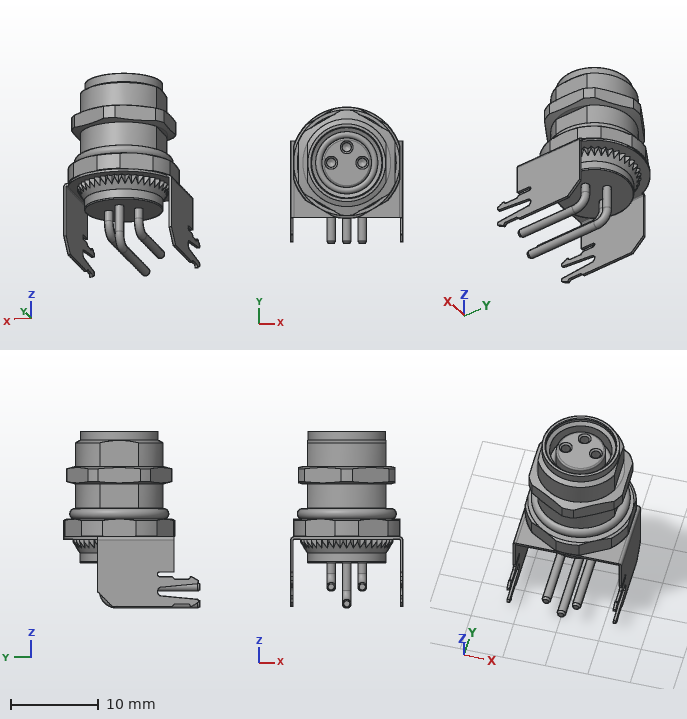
import cadquery as cq
import math


shell_top = 12.0
collar_base = 11.0
collar_radius = 4.43
thread_base = 3.25
thread_radius = 5.0
thread_bevel_height = 0.3
flat_offset = 4.5
groove_radius = 4.47

mouth_radius = 4.0
mouth_chamfer = 0.1
mouth_wall_base = 11.55
funnel_base = 11.25
well_radius = 3.55
well_floor = 9.15
insert_radius = 2.82
insert_top = 11.2
insert_fillet = 0.2
seal_height = (well_radius - insert_radius) / 2

contact_offset = 1.77
socket_radius = 0.52
socket_mouth_radius = 0.73
socket_depth = 4.0
socket_tip_depth = 0.3

nut_flats = 11.0
nut_corner_radius = 6.0
nut_base = 6.0
nut_top = 8.0
nut_face_radius = 5.0
nut_bevel = 0.27
flange_flats = 12.1
flange_radius = 6.35
flange_top = 2.0
flange_bevel_width = 0.3
flange_bevel_height = 0.17
flange_base_chamfer = 0.07

ring_section_radius = 0.6
ring_centre_radius = 5.05

knurl_count = 40
knurl_peak_radius = 5.3
knurl_valley_radius = 4.85
knurl_cone_top = -0.55
foot_radius = 4.5
knurl_cone_base = -1.85
foot_base = -3.0
foot_bevel_height = 0.15
foot_bevel_width = 0.08

sheet = 0.3
bracket_half_width = 6.4
bend_radius = 0.4
bracket_front = -6.25
bracket_back = 2.5
leg_base = -7.95
leg_corner = 1.7

prong_half_height = 1.7
fork_centre = leg_base + prong_half_height
prong_top = fork_centre + prong_half_height
notch_half_height = 1.4
notch_depth = prong_half_height - notch_half_height
notch_start = -6.02
notch_end = -7.8
hook_peak = -8.24
tip_outer = -8.98
tip_outer_half = 1.28
tip_middle = -9.03
tip_middle_half = 1.07
tip_inner = -8.9
tip_inner_half = 0.88
fork_root = -4.37
fork_mouth = -4.65
fork_mouth_half = 0.48
relief_radius = 0.26
relief_top = prong_top + 2 * relief_radius

pin_radius = 0.5
pin_end = -9.2
pin_bend_radius = 1.5
pin_tip_length = 0.28
pin_tip_radius = 0.35
upper_pin_height = -5.72
lower_pin_height = -7.65
pin_start = foot_base + 0.5
contacts = [
    (-contact_offset, 0, upper_pin_height),
    (contact_offset, 0, upper_pin_height),
    (0, contact_offset, lower_pin_height),
]


def revolved(profile):
    """Revolve a closed (radius, height) outline about the Z axis."""
    return cq.Workplane("XZ").polyline(profile).close().revolve(360, (0, 0), (0, 1))


def disc(radius, base, top):
    """Plain round disc centred on the Z axis."""
    return cq.Workplane("XY").workplane(offset=base).circle(radius).extrude(top - base)


def hexagon(flats, base, top):
    """Six-sided prism with one pair of flats facing +X and -X."""
    sides = 6
    half_side_angle = 180 / sides
    corner_diameter = flats / math.cos(math.radians(half_side_angle))
    prism = cq.Workplane("XY").polygon(sides, corner_diameter).extrude(top - base)
    return prism.rotate((0, 0, 0), (0, 0, 1), half_side_angle).translate((0, 0, base))


def make_shell():
    """Flatted thread with a bevelled end, between the ring groove and the collar."""
    bevel_base = collar_base - thread_bevel_height
    thread = revolved([
        (0, thread_base),
        (thread_radius, thread_base),
        (thread_radius, bevel_base),
        (collar_radius, collar_base),
        (0, collar_base),
    ])
    flats = cq.Workplane("XY").workplane(offset=thread_base).rect(2 * flat_offset, 4 * thread_radius)
    thread = thread.intersect(flats.extrude(collar_base - thread_base))
    core = disc(groove_radius, 0, thread_base)
    collar = disc(collar_radius, bevel_base, shell_top)
    return core.union(thread).union(collar)


def make_mouth():
    """Hollow around and above the insert, with a domed seal as the well floor."""
    fillet_share = insert_fillet * math.sqrt(0.5)
    fillet_centre_radius = insert_radius - insert_fillet
    fillet_centre_height = insert_top - insert_fillet
    outline = (
        cq.Workplane("XZ")
        .moveTo(0, shell_top)
        .lineTo(0, insert_top)
        .lineTo(fillet_centre_radius, insert_top)
        .threePointArc(
            (fillet_centre_radius + fillet_share, fillet_centre_height + fillet_share),
            (insert_radius, fillet_centre_height),
        )
        .lineTo(insert_radius, well_floor)
        .threePointArc((insert_radius + seal_height, well_floor + seal_height), (well_radius, well_floor))
        .lineTo(well_radius, funnel_base)
        .lineTo(mouth_radius, mouth_wall_base)
        .lineTo(mouth_radius, shell_top - mouth_chamfer)
        .lineTo(mouth_radius + mouth_chamfer, shell_top)
        .close()
    )
    return outline.revolve(360, (0, 0), (0, 1))


def make_socket():
    """Countersunk contact hole with a conical bottom."""
    bottom = insert_top - socket_depth
    countersink = socket_mouth_radius - socket_radius
    return revolved([
        (0, bottom - socket_tip_depth),
        (socket_radius, bottom),
        (socket_radius, insert_top - countersink),
        (socket_mouth_radius, insert_top),
        (0, insert_top),
    ])


def make_nut():
    envelope = revolved([
        (0, nut_base),
        (nut_face_radius, nut_base),
        (nut_corner_radius, nut_base + nut_bevel),
        (nut_corner_radius, nut_top - nut_bevel),
        (nut_face_radius, nut_top),
        (0, nut_top),
    ])
    return hexagon(nut_flats, nut_base, nut_top).intersect(envelope)


def make_flange():
    envelope = revolved([
        (0, 0),
        (flange_radius - flange_base_chamfer, 0),
        (flange_radius, flange_base_chamfer),
        (flange_radius, flange_top - flange_bevel_height),
        (flange_radius - flange_bevel_width, flange_top),
        (0, flange_top),
    ])
    return hexagon(flange_flats, 0, flange_top).intersect(envelope)


def make_sealing_ring():
    centre_height = flange_top + ring_section_radius
    plane = cq.Plane(origin=(ring_centre_radius, 0, centre_height), xDir=(-1, 0, 0), normal=(0, 1, 0))
    section = cq.Workplane(plane).circle(ring_section_radius)
    return section.revolve(360, (ring_centre_radius, 0), (ring_centre_radius, 1))


def make_foot():
    """Tapered foot with vertical V grooves above a plain cylinder."""
    star = []
    half_pitch = math.pi / knurl_count
    for index in range(2 * knurl_count):
        radius = knurl_peak_radius if index % 2 else knurl_valley_radius
        angle = index * half_pitch
        star.append((radius * math.cos(angle), radius * math.sin(angle)))
    knurl = cq.Workplane("XY").polyline(star).close().extrude(knurl_cone_base)
    taper = revolved([
        (0, 0),
        (knurl_peak_radius, 0),
        (knurl_peak_radius, knurl_cone_top),
        (foot_radius, knurl_cone_base),
        (0, knurl_cone_base),
    ])
    cylinder = revolved([
        (0, knurl_cone_base),
        (foot_radius, knurl_cone_base),
        (foot_radius, foot_base + foot_bevel_height),
        (foot_radius - foot_bevel_width, foot_base),
        (0, foot_base),
    ])
    return knurl.intersect(taper).union(cylinder)


def prong_side(side):
    """Points along one prong, round its tip to the fork; side is +1 (upper) or -1 (lower)."""
    def at(y, half_height):
        return (y, fork_centre + side * half_height)

    hook_arc_share = notch_depth * math.sqrt(0.5)
    arc_middle_half = prong_half_height - hook_arc_share
    return [
        at(notch_start, prong_half_height),
        at(notch_start - notch_depth, notch_half_height),
        at(notch_end, notch_half_height),
        at(notch_end - hook_arc_share, arc_middle_half),
        at(notch_end - notch_depth, prong_half_height),
        at(hook_peak, prong_half_height),
        at(tip_outer, tip_outer_half),
        at(tip_middle, tip_middle_half),
        at(tip_inner, tip_inner_half),
        at(fork_mouth, fork_mouth_half),
    ]


def trace_prong(outline, points, arc_middles):
    """Extend an outline along a prong side, with an arc through each listed middle point."""
    for index, point in enumerate(points):
        if point in arc_middles:
            continue
        previous = points[index - 1]
        if previous in arc_middles:
            outline = outline.threePointArc(previous, point)
        else:
            outline = outline.lineTo(*point)
    return outline


def leg_outline():
    """Side profile of a bracket leg in the YZ plane."""
    upper = prong_side(1)
    lower = prong_side(-1)
    hook_index = 3
    tip_index = 7
    arc_middles = [side[index] for side in (upper, lower) for index in (hook_index, tip_index)]
    relief_centre = fork_root - relief_radius
    outline = cq.Workplane("YZ").moveTo(bracket_back, 0).lineTo(bracket_front, 0)
    outline = outline.lineTo(bracket_front, relief_top).lineTo(relief_centre, relief_top)
    outline = outline.threePointArc((fork_root, relief_top - relief_radius), (relief_centre, prong_top))
    outline = trace_prong(outline, upper, arc_middles)
    outline = outline.threePointArc((fork_root, fork_centre), lower[-1])
    outline = trace_prong(outline, lower[-2::-1], arc_middles)
    outline = outline.lineTo(bracket_back - leg_corner, leg_base)
    return outline.lineTo(bracket_back, leg_base + leg_corner).close()


def make_bracket():
    """Folded U-shaped sheet, its web rounded off behind to follow the flange."""
    height = -leg_base
    length = bracket_back - pin_end
    inner_half_width = bracket_half_width - sheet
    outer = cq.Workplane("XY").box(2 * bracket_half_width, length, height, centered=(True, False, False))
    outer = outer.translate((0, pin_end, leg_base))
    outer = outer.edges("|Y and >Z").fillet(bend_radius)
    inner = cq.Workplane("XY").box(2 * inner_half_width, length, height - sheet, centered=(True, False, False))
    inner = inner.translate((0, pin_end, leg_base))
    inner = inner.edges("|Y and >Z").fillet(bend_radius - sheet)
    side_shape = leg_outline().extrude(bracket_half_width, both=True)
    folded = outer.cut(inner).intersect(side_shape)
    rear_depth = flange_radius - bracket_back
    rear = cq.Workplane("XY").box(2 * flange_radius, rear_depth, sheet, centered=(True, False, False))
    rear = rear.translate((0, bracket_back, -sheet)).intersect(disc(flange_radius, -sheet, 0))
    return folded.union(rear)


def make_pin(x, y, height):
    """Pin leaving the foot downward and bending toward -Y."""
    bend_top = height + pin_bend_radius
    bend_end = y - pin_bend_radius
    arc_share = pin_bend_radius * math.sqrt(0.5)
    path = (
        cq.Workplane("YZ", origin=(x, 0, 0))
        .moveTo(y, pin_start)
        .lineTo(y, bend_top)
        .threePointArc((bend_end + arc_share, bend_top - arc_share), (bend_end, height))
        .lineTo(pin_end, height)
    )
    pin = cq.Workplane("XY", origin=(x, y, pin_start)).circle(pin_radius).sweep(path)
    return pin.faces("<Y").chamfer(pin_tip_length, pin_radius - pin_tip_radius)


def make_connector():
    body = make_shell()
    for piece in (make_nut(), make_flange(), make_sealing_ring(), make_foot(), make_bracket()):
        body = body.union(piece)
    body = body.cut(make_mouth())
    for x, y, _ in contacts:
        body = body.cut(make_socket().translate((x, y, 0)))
    for x, y, height in contacts:
        body = body.union(make_pin(x, y, height))
    return body


result = make_connector()